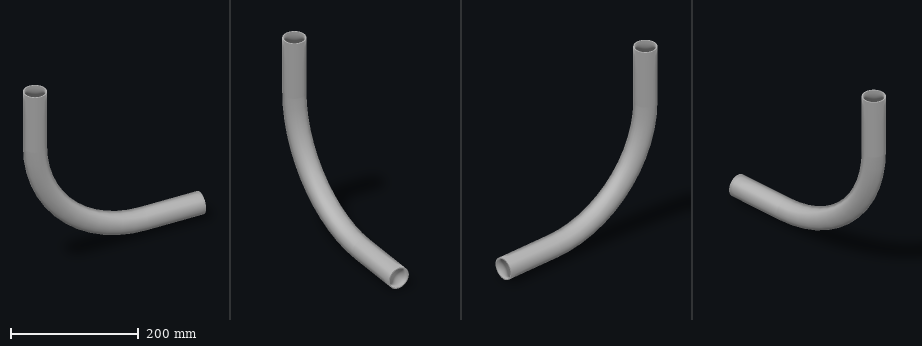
import cadquery as cq

overall_length = 311.0
outer_diameter = 38.0
inner_diameter = 34.0

straight_length = 101.7
bend_radius = overall_length - straight_length - outer_diameter / 2

centreline = (
    cq.Workplane("YZ")
    .moveTo(0, bend_radius + straight_length)
    .lineTo(0, bend_radius)
    .radiusArc((bend_radius, 0), -bend_radius)
    .lineTo(bend_radius + straight_length, 0)
)

result = (
    cq.Workplane("XY", origin=(0, 0, bend_radius + straight_length))
    .circle(outer_diameter / 2)
    .circle(inner_diameter / 2)
    .sweep(centreline)
)